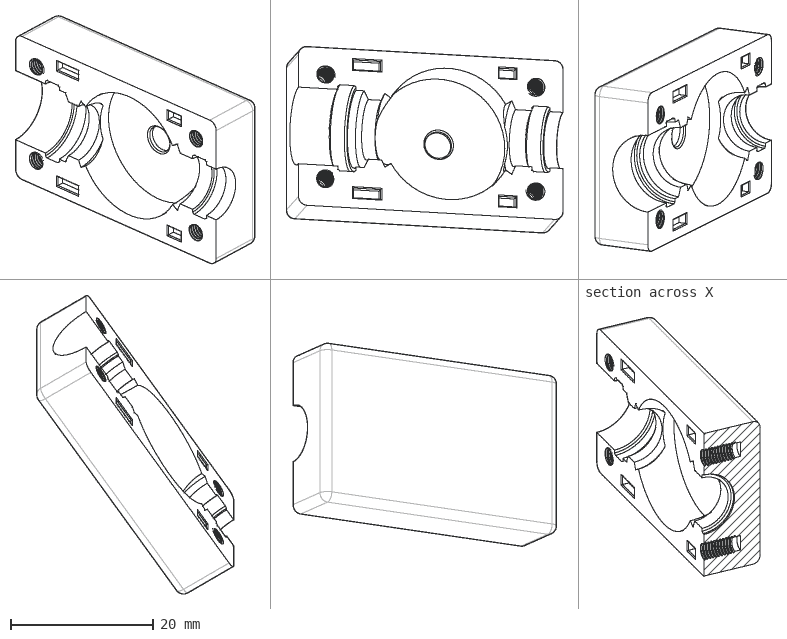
import cadquery as cq
import math

length = 38.1
thickness = 8.85
height = 23.05
edge_radius = 1.22

chamber_x = 21.55
chamber_diameter = 19.05
chamber_depth = 6.17

seat_diameter = 3.8
seat_depth = 0.8
seat_chamfer = 0.23

inlet_diameter = 11.13
inlet_length = 9.45
inlet_cone_length = 0.6
throat_diameter = 8.65
outlet_diameter = 8.15

groove_width = 2.63
groove_depth = 0.7
groove_chamfer_length = 0.3
groove_chamfer_depth = 0.23
inlet_groove_start = 5.68
outlet_groove_start = 33.6

recess_diameter = 10.65
recess_offset = 9.15
recess_outer_slope = 2.3
recess_inner_slope = 0.66

pocket_spans = [(7.77, 4.23), (28.75, 2.7)]
pocket_height = 1.7
pocket_center_z = 9.3
pocket_depth = 1.15
pocket_chamfer = 0.15

screw_inset = 3.95
screw_center_z = 7.55
screw_minor_diameter = 2.25
screw_major_diameter = 2.65
screw_depth = 5.7
thread_pitch = 0.45
thread_half_angle = 30.0
thread_flat = 0.08
thread_overlap = 0.05
thread_exit_angle = 155.0


def from_mating_face(x, z):
    """Workplane on the mating face, its local axes along +X and +Z, centred at (x, z)."""
    return cq.Workplane("XZ", origin=(x, 0, z))


def make_body():
    body = from_mating_face(length / 2, 0).rect(length, height).extrude(-thickness)
    body = body.edges("|Y").fillet(edge_radius)
    return body.faces(">Y").edges().fillet(edge_radius)


def revolve_about_x(profile):
    """Solid of revolution from (x, radius) points, closed along the X axis."""
    points = [(profile[0][0], 0)] + profile + [(profile[-1][0], 0)]
    return cq.Workplane("XY").polyline(points).close().revolve(360, (0, 0, 0), (1, 0, 0))


def groove_profile(start, bore_radius):
    """Points of a ring groove whose floor corners are chamfered."""
    end = start + groove_width
    floor_radius = bore_radius + groove_depth
    shoulder_radius = floor_radius - groove_chamfer_depth
    return [
        (start, bore_radius),
        (start, shoulder_radius),
        (start + groove_chamfer_length, floor_radius),
        (end - groove_chamfer_length, floor_radius),
        (end, shoulder_radius),
        (end, bore_radius),
    ]


def make_inlet():
    bore_radius = inlet_diameter / 2
    throat_radius = throat_diameter / 2
    profile = [(0, bore_radius)]
    profile += groove_profile(inlet_groove_start, bore_radius)
    profile += [
        (inlet_length, bore_radius),
        (inlet_length + inlet_cone_length, throat_radius),
        (chamber_x, throat_radius),
    ]
    return revolve_about_x(profile)


def make_outlet():
    bore_radius = outlet_diameter / 2
    profile = [(chamber_x, bore_radius)]
    profile += groove_profile(outlet_groove_start, bore_radius)
    profile += [(length, bore_radius)]
    return revolve_about_x(profile)


def make_recess(side, channel_diameter):
    """V-shaped ring; side is -1 toward the inlet and +1 toward the outlet."""
    peak_radius = recess_diameter / 2
    channel_radius = channel_diameter / 2
    rise = peak_radius - channel_radius
    outer_end = recess_offset + rise / recess_outer_slope
    inner_end = recess_offset - rise / recess_inner_slope
    return revolve_about_x([
        (chamber_x + side * inner_end, channel_radius),
        (chamber_x + side * recess_offset, peak_radius),
        (chamber_x + side * outer_end, channel_radius),
    ])


def make_chamber():
    chamber = from_mating_face(chamber_x, 0).circle(chamber_diameter / 2).extrude(-chamber_depth)
    seat_bottom = chamber_depth + seat_depth
    seat_radius = seat_diameter / 2
    seat = from_mating_face(chamber_x, 0).circle(seat_radius).extrude(-seat_bottom)
    countersink = (
        cq.Workplane("XZ", origin=(chamber_x, chamber_depth, 0))
        .circle(seat_radius + seat_chamfer)
        .workplane(offset=-seat_chamfer)
        .circle(seat_radius)
        .loft()
    )
    return chamber.union(seat).union(countersink)


def make_pocket(left, pocket_length, z):
    """Rectangular pocket with a chamfered rim; the given length and height are at the rim."""
    floor_length = pocket_length - 2 * pocket_chamfer
    floor_height = pocket_height - 2 * pocket_chamfer
    center = from_mating_face(left + pocket_length / 2, z)
    rim = (
        center.rect(pocket_length, pocket_height)
        .workplane(offset=-pocket_chamfer)
        .rect(floor_length, floor_height)
        .loft()
    )
    return center.rect(floor_length, floor_height).extrude(-pocket_depth).union(rim)


def make_thread():
    """Helical groove cutter, tapered to a narrow flat root, along +Z that crosses Z = 0 at angle zero."""
    turns = math.floor(screw_depth / thread_pitch)
    outer_radius = screw_major_diameter / 2
    inner_radius = screw_minor_diameter / 2 - thread_overlap
    outer_half_width = thread_flat / 2
    flank_run = (outer_radius - inner_radius) * math.tan(math.radians(thread_half_angle))
    inner_half_width = outer_half_width + flank_run
    path = cq.Wire.makeHelix(thread_pitch, turns * thread_pitch, inner_radius)
    groove = (
        cq.Workplane("XZ")
        .polyline([
            (inner_radius, -inner_half_width),
            (outer_radius, -outer_half_width),
            (outer_radius, outer_half_width),
            (inner_radius, inner_half_width),
        ])
        .close()
        .sweep(cq.Workplane(path), isFrenet=True)
    )
    return groove.translate((0, 0, -thread_pitch))


def make_screw_hole(thread, x_side, z_side):
    """Cutters for a blind hole and for its thread, which leaves the mating face on the outer side."""
    x = length / 2 + x_side * (length / 2 - screw_inset)
    z = z_side * screw_center_z
    exit_angle = math.radians(thread_exit_angle)
    exit_x = -x_side * math.cos(exit_angle)
    exit_z = z_side * math.sin(exit_angle)
    angle = math.degrees(math.atan2(exit_z, exit_x))
    placed = (
        thread.rotate((0, 0, 0), (0, 0, 1), -angle)
        .rotate((0, 0, 0), (1, 0, 0), -90)
        .translate((x, 0, z))
    )
    hole = from_mating_face(x, z).circle(screw_minor_diameter / 2).extrude(-screw_depth)
    return hole, placed


result = make_body()
result = result.cut(make_chamber()).cut(make_inlet()).cut(make_outlet())
result = result.cut(make_recess(-1, throat_diameter)).cut(make_recess(1, outlet_diameter))

for z_side in (-1, 1):
    for left, pocket_length in pocket_spans:
        result = result.cut(make_pocket(left, pocket_length, z_side * pocket_center_z))

thread_cutter = make_thread()
for x_side in (-1, 1):
    for z_side in (-1, 1):
        hole, thread = make_screw_hole(thread_cutter, x_side, z_side)
        result = result.cut(hole).cut(thread)